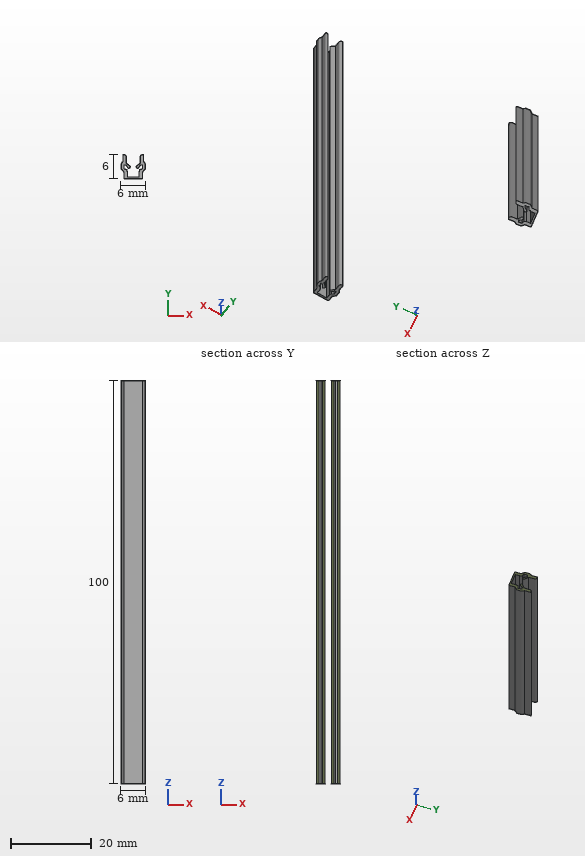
import cadquery as cq

length = 100.0
width = 6.0
depth = 6.0

wall = 0.9
bulge_outer = width / 2
lip_outer = 2.6
lip_inner = lip_outer - wall
leg_outer = 2.3
leg_inner = leg_outer - wall

back = -depth / 2
mouth = depth / 2
back_thickness = 0.5
floor = back + back_thickness
leg_top = -1.35
bulge_bottom = -0.55
bulge_top = 0.7
lip_bottom = 1.3

bulge_wall = 0.75
pocket_outer = bulge_outer - bulge_wall
pocket_inner = 1.8
pocket_top = 0.4
pocket_bottom = -0.5
ledge_inner = 1.6
ledge_level = -0.75

hook_root = 0.9
hook_tip_inner = 0.65
hook_tip_top = 0.0
hook_tip_outer = 1.12
hook_tip_bottom = -0.6

back_radius = 0.2
bulge_radius = 0.1
hook_radius = 0.15
mouth_inner_radius = 0.6
mouth_outer_radius = 0.15

back_corner = (leg_outer, back)
bulge_bottom_corner = (bulge_outer, bulge_bottom)
bulge_top_corner = (bulge_outer, bulge_top)
mouth_outer_corner = (lip_outer, mouth)
mouth_inner_corner = (lip_inner, mouth)
hook_top_corner = (hook_tip_inner, hook_tip_top)
hook_bottom_corner = (hook_tip_outer, hook_tip_bottom)

rounded_corners = [
    (back_corner, back_radius),
    (bulge_bottom_corner, bulge_radius),
    (bulge_top_corner, bulge_radius),
    (mouth_outer_corner, mouth_outer_radius),
    (mouth_inner_corner, mouth_inner_radius),
    (hook_top_corner, hook_radius),
    (hook_bottom_corner, hook_radius),
]


def sharp_half():
    """The +X half of the channel with sharp edges, extruded along Z and centred on Z = 0."""
    outline = [
        (0, back),
        back_corner,
        (leg_outer, leg_top),
        bulge_bottom_corner,
        bulge_top_corner,
        (lip_outer, lip_bottom),
        mouth_outer_corner,
        mouth_inner_corner,
        (lip_inner, hook_root),
        hook_top_corner,
        hook_bottom_corner,
        (pocket_inner, pocket_top),
        (pocket_outer, pocket_top),
        (pocket_outer, pocket_bottom),
        (ledge_inner, ledge_level),
        (leg_inner, leg_top),
        (leg_inner, floor),
        (0, floor),
    ]
    return cq.Workplane("XY").polyline(outline).close().extrude(length / 2, both=True)


def round_long_edge(body, corner, radius):
    """Fillet the lengthwise edge that passes through a corner of the profile."""
    x, y = corner
    return body.edges(cq.selectors.NearestToPointSelector((x, y, 0))).fillet(radius)


half = sharp_half()
for corner, radius in rounded_corners:
    half = round_long_edge(half, corner, radius)

result = half.union(half.mirror("YZ")).clean()